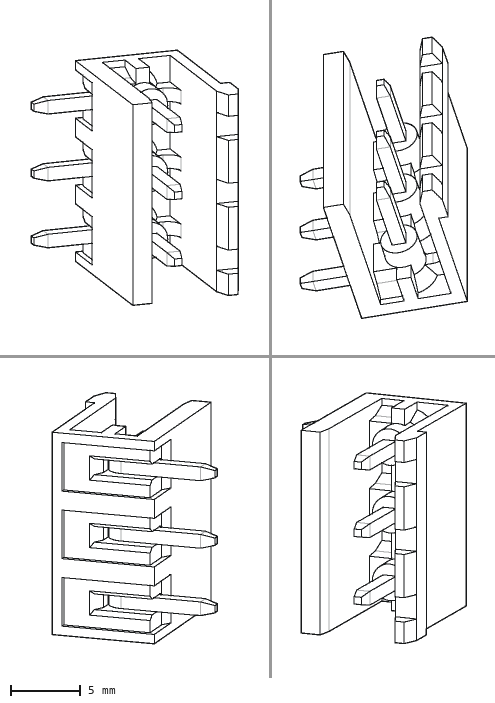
import cadquery as cq

length = 12.0
pitch = 5.0
contact_count = 3
height = contact_count * pitch
body_width = 7.8
back_wall = 1.1
board_wall = 1.67
latch_wall_inner = 6.84
board_wall_tip = 1.48
tip_start = 10.8

hook_start = 9.0
hook_top = 8.5
hook_tip_outer = 8.03
hook_tip_inner = 7.3
notch_width = 1.8

pin_size = 1.02
pin_axis_y = 3.91
pin_axis_x = 2.0
pin_end_x = 10.8
pin_end_y = -4.0
tip_length = 1.0
tip_size = 0.55
bend_radius = 1.36

rib_width = 1.04
rib_end = 3.4
boss_end = 4.93
boss_base_radius = 2.0
boss_neck_x = 2.39
boss_neck_radius = 1.41
boss_tip_radius = 1.35
sleeve_neck_x = 2.28
sleeve_neck_half = 1.5
sleeve_end_half = 1.36
gusset_fillet = 1.0

recess_width = 3.6
recess_back_depth = 0.37
recess_board_depth = 0.45
recess_top = 7.03
recess_floor_end = 2.8
recess_slope_end = 3.53

slot_width = 1.16
slot_mouth_width = 1.8
slot_flare_end = 0.8
slot_mouth_top = 5.07
slot_inner_top = 4.45
slot_lean_end = 1.6


def centred_plate(outline, thickness, z):
    """XY outline extruded evenly about the height z."""
    return outline.extrude(thickness / 2, both=True).translate((0, 0, z))


def mirrored_profile(half_profile):
    """XZ outline made of a profile and its mirror image below the X axis."""
    mirrored = [(x, -half) for x, half in reversed(half_profile)]
    return cq.Workplane("XZ").polyline(half_profile + mirrored).close()


def make_body():
    """U-shaped housing with a latch hook and a full-height rib that carries the contacts."""
    outline = [
        (0, 0),
        (length, 0),
        (length, board_wall_tip),
        (tip_start, board_wall),
        (back_wall, board_wall),
        (back_wall, latch_wall_inner),
        (tip_start, latch_wall_inner),
        (length, hook_tip_inner),
        (length, hook_tip_outer),
        (tip_start, hook_top),
        (hook_start, hook_top),
        (hook_start, body_width),
        (0, body_width),
    ]
    body = cq.Workplane("XY").polyline(outline).close().extrude(height)
    rib = cq.Workplane("XY").box(rib_end, rib_width, height, centered=(False, True, False))
    return body.union(rib.translate((0, pin_axis_y, 0)))


def make_boss(z):
    """Flared round boss about the mating leg."""
    profile = [
        (back_wall, 0),
        (back_wall, boss_base_radius),
        (boss_neck_x, boss_neck_radius),
        (boss_end, boss_tip_radius),
        (boss_end, 0),
    ]
    boss = cq.Workplane("XZ").polyline(profile).close().revolve(360, (0, 0, 0), (1, 0, 0))
    return boss.translate((0, pin_axis_y, z))


def make_sleeve(z):
    """Flat-sided continuation of the boss down to the board wall."""
    half_profile = [
        (back_wall, boss_base_radius),
        (sleeve_neck_x, sleeve_neck_half),
        (rib_end, sleeve_end_half),
    ]
    sleeve = mirrored_profile(half_profile).extrude(board_wall - pin_axis_y)
    return sleeve.translate((0, board_wall, z))


def make_gusset(z):
    """Web joining the boss to the latch wall with a rounded corner."""
    outline = (
        cq.Workplane("XY")
        .moveTo(back_wall, pin_axis_y)
        .lineTo(boss_neck_x, pin_axis_y)
        .lineTo(boss_neck_x, latch_wall_inner - gusset_fillet)
        .radiusArc((boss_neck_x + gusset_fillet, latch_wall_inner), gusset_fillet)
        .lineTo(back_wall, latch_wall_inner)
        .close()
    )
    return centred_plate(outline, pin_size, z)


def make_recess(z):
    """Shallow step in the back and board faces, ending in a slope."""
    outline = (
        cq.Workplane("XY")
        .polyline([
            (0, 0),
            (recess_slope_end, 0),
            (recess_floor_end, recess_board_depth),
            (recess_back_depth, recess_board_depth),
            (recess_back_depth, recess_top),
            (0, recess_top),
        ])
        .close()
    )
    return centred_plate(outline, recess_width, z)


def make_slot(z):
    """Flared slot open to the back and board faces, closed by a leaning end wall."""
    slot_bottom = pin_axis_x + pin_size / 2
    half_profile = [
        (0, slot_mouth_width / 2),
        (recess_back_depth, slot_mouth_width / 2),
        (slot_flare_end, slot_width / 2),
        (slot_bottom, slot_width / 2),
    ]
    flared = mirrored_profile(half_profile).extrude(-slot_mouth_top)
    outline = (
        cq.Workplane("XY")
        .polyline([
            (0, 0),
            (slot_bottom, 0),
            (slot_bottom, slot_inner_top),
            (slot_lean_end, slot_inner_top),
            (recess_back_depth, slot_mouth_top),
            (0, slot_mouth_top),
        ])
        .close()
    )
    return flared.intersect(centred_plate(outline, slot_mouth_width, 0)).translate((0, 0, z))


def make_notch(z):
    """Gap through the tapered tip of the latch hook."""
    notch_length = length - tip_start
    notch_depth = hook_top - latch_wall_inner
    notch = cq.Workplane("XY").box(notch_length, notch_depth, notch_width, centered=(False, False, True))
    return notch.translate((tip_start, latch_wall_inner, z))


def make_pin_tip(plane):
    """Square taper standing on the given plane."""
    return plane.rect(pin_size, pin_size).workplane(offset=tip_length).rect(tip_size, tip_size).loft()


def make_pin(z):
    """Right-angled square pin with tapered ends."""
    half = pin_size / 2
    left = pin_axis_x - half
    right = pin_axis_x + half
    top = pin_axis_y + half
    bottom = pin_axis_y - half
    mating_end = pin_end_x - tip_length
    solder_end = pin_end_y + tip_length
    outline = (
        cq.Workplane("XY")
        .moveTo(left, solder_end)
        .lineTo(left, top - bend_radius)
        .radiusArc((left + bend_radius, top), bend_radius)
        .lineTo(mating_end, top)
        .lineTo(mating_end, bottom)
        .lineTo(right, bottom)
        .lineTo(right, solder_end)
        .close()
    )
    pin = centred_plate(outline, pin_size, z)
    mating_tip = make_pin_tip(cq.Workplane("YZ", origin=(mating_end, pin_axis_y, z)))
    solder_tip = make_pin_tip(cq.Workplane("XZ", origin=(pin_axis_x, solder_end, z)))
    return pin.union(mating_tip).union(solder_tip)


contact_heights = [pitch * (index + 0.5) for index in range(contact_count)]

result = make_body()
for z in contact_heights:
    result = result.union(make_boss(z)).union(make_sleeve(z)).union(make_gusset(z))
    result = result.cut(make_recess(z)).cut(make_slot(z)).cut(make_notch(z))
    result = result.union(make_pin(z))